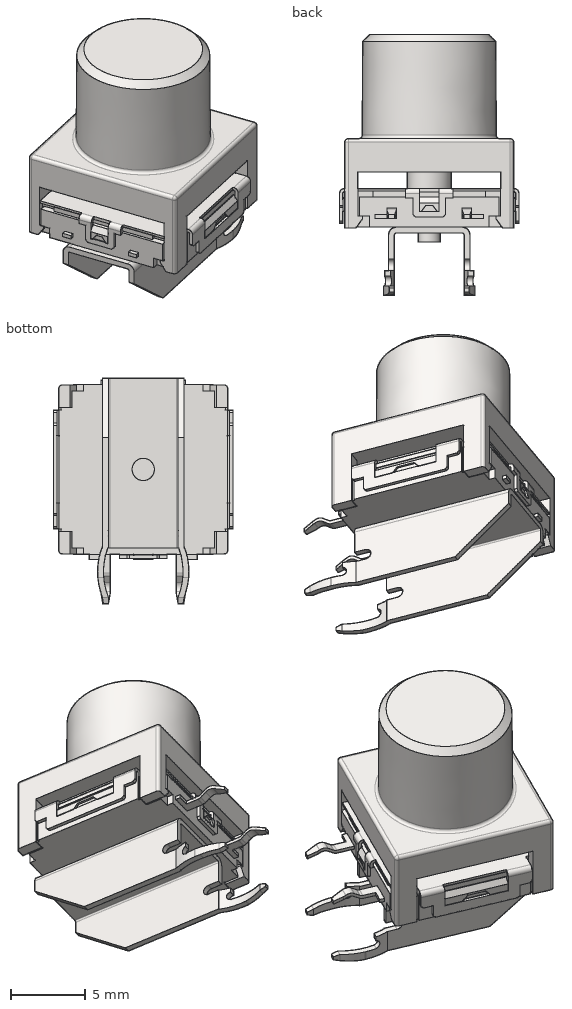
import cadquery as cq
import math


OVERALL_WIDTH = 12.1
TOTAL_HEIGHT = 17.61

CAP_TOP_RADIUS = 4.0
CAP_SHOULDER_RADIUS = 4.49
CAP_FOOT_RADIUS = 4.53
CAP_FLARE_RADIUS = 4.75
CAP_CHAMFER_HEIGHT = 0.48

HOUSING_WIDTH = 11.4
HOUSING_BOTTOM = 4.56
HOUSING_TOP = 10.58
HOUSING_ROUNDING = 0.25
WINDOW_TOP = 8.33
FRONT_WINDOW_WIDTH = 9.62
SIDE_WINDOW_WIDTH = 8.33
HOOK_TOP = 5.35
HOOK_LIP_HEIGHT = 0.15
HOOK_REACH = 0.32
HOOK_FOOT_INSET = 0.12
HOOK_DEPTH = 0.6

BODY_BOTTOM = 4.61
PLATE_TOP = 7.22
PLATE_THICKNESS = 0.18
PLATE_EDGE = 5.62
WALL_TOP = 6.65
WALL_FACE = 5.72
WALL_WIDTH = 9.4
WALL_NOTCH_EDGE = 4.02
SIDE_FACE = 5.67
SIDE_FACE_WIDTH = 8.0
SIDE_PLATE_EDGE = 5.64
STEP_EDGE = 5.53
STEP_WIDTH = 7.6
CORNER_EDGE = 5.28
STEM_DIAMETER = 3.0
POST_DIAMETER = 1.5
POST_BOTTOM = 3.61

FRONT_CLIP_REACH = 6.0
SIDE_CLIP_REACH = OVERALL_WIDTH / 2
CLIP_THICKNESS = 0.23
CLIP_BEND_RADIUS = 0.33
CLIP_CORNER = 0.15
WINDOW_SILL = 5.69
LATCH_TIP_TOP = 6.25
FRONT_LATCH_REACH = 6.08
SIDE_LATCH_REACH = 6.0
LATCH_SLOPE_DEPTH = 0.28
LATCH_RECESS_TOP = 6.1
LATCH_RECESS_DEPTH = 0.14

TERMINAL_INNER = 2.22
TERMINAL_WIDTH = 0.63
TERMINAL_BOTTOM = 5.2
TERMINAL_THICKNESS = 0.26
TERMINAL_FRONT = 6.02
TERMINAL_BACK = 9.05
TERMINAL_TIP_START = 8.36
TERMINAL_TIP_TAPER = 0.12
KINK_START = 6.99
KINK_SLOPE_START = 7.2
KINK_SLOPE_START_RISE = 0.07
KINK_SLOPE_END = 7.6
KINK_SLOPE_END_RISE = 0.35
KINK_CREST = 7.92
KINK_CREST_RISE = 0.45
KINK_END = 8.22
KINK_END_RISE = 0.37
FOOT_OUTER = 3.65
FOOT_BACK = 6.08

BRACKET_WIDTH = 5.5
BRACKET_THICKNESS = 0.4
BRACKET_BEND_RADIUS = 0.51
BRACKET_FRONT = -6.15
BRACKET_BACK = 5.3
FLANGE_FRONT_CORNER = 3.2
FLANGE_BOTTOM_FRONT = -2.17
SLOT_BOTTOM = 1.69
SLOT_TOP = 2.47
SLOT_END = 4.1

TAIL_ROOT = 5.18
TAIL_BULGE = 0.33
TAIL_BULGE_Y = 6.92
TAIL_TIP_INSET = 0.07
TAIL_HEIGHT = 0.67
TAIL_POINT_START = 8.61
TAIL_LUG_END = 6.1
TAIL_LUG_BOTTOM = 1.32
TAIL_THROAT_DEPTH = 0.28
TAIL_UNDERSIDE_START = 7.29
TAIL_POINT_BOTTOM = 0.12
TAIL_TIP_BOTTOM = 0.26
TAIL_TIP_TOP = 0.53


def box(x_range, y_range, z_range):
    """Box between the given limits on each axis."""
    sizes = [high - low for low, high in (x_range, y_range, z_range)]
    corner = (x_range[0], y_range[0], z_range[0])
    return cq.Workplane("XY").box(*sizes, centered=False).translate(corner)


def centred_box(width, depth, bottom, top):
    """Box centred on the Z axis."""
    return box((-width / 2, width / 2), (-depth / 2, depth / 2), (bottom, top))


def along_x(outline, x_low, x_high):
    """Extrude a closed YZ outline between two X positions."""
    return outline.extrude(x_high - x_low).translate((x_low, 0, 0))


def on_both_sides(shape):
    """The shape together with its mirror image across X = 0."""
    return shape.union(shape.mirror("YZ"))


def make_cap():
    """Slightly tapered cap with a chamfered top and a small concave flare at its foot."""
    shoulder = TOTAL_HEIGHT - CAP_CHAMFER_HEIGHT
    flare = CAP_FLARE_RADIUS - CAP_FOOT_RADIUS
    flare_mid = flare * (1 - math.sqrt(0.5))
    return (
        cq.Workplane("XZ")
        .moveTo(0, HOUSING_TOP)
        .lineTo(CAP_FLARE_RADIUS, HOUSING_TOP)
        .threePointArc(
            (CAP_FOOT_RADIUS + flare_mid, HOUSING_TOP + flare_mid),
            (CAP_FOOT_RADIUS, HOUSING_TOP + flare),
        )
        .lineTo(CAP_SHOULDER_RADIUS, shoulder)
        .lineTo(CAP_TOP_RADIUS, TOTAL_HEIGHT)
        .lineTo(0, TOTAL_HEIGHT)
        .close()
        .revolve(360, (0, 0, 0), (0, 1, 0))
    )


def make_hooks():
    """Snap hooks at the feet of the corner posts, on the front and back."""
    edge = FRONT_WINDOW_WIDTH / 2
    tip = edge - HOOK_REACH
    outer = edge + HOOK_FOOT_INSET
    points = [
        (outer, HOOK_TOP),
        (tip, HOOK_TOP),
        (tip, HOOK_TOP - HOOK_LIP_HEIGHT),
        (outer, HOUSING_BOTTOM),
    ]
    front = cq.Workplane("XZ").polyline(points).close().extrude(HOOK_DEPTH)
    front = front.translate((0, HOOK_DEPTH - HOUSING_WIDTH / 2, 0))
    front = on_both_sides(front)
    return front.union(front.mirror("XZ"))


def make_housing():
    """Square block with two crossing tunnels, which leave four corner posts."""
    housing = centred_box(HOUSING_WIDTH, HOUSING_WIDTH, HOUSING_BOTTOM, HOUSING_TOP)
    housing = housing.edges("|Z or >Z").fillet(HOUSING_ROUNDING)
    front_tunnel = centred_box(FRONT_WINDOW_WIDTH, HOUSING_WIDTH, HOUSING_BOTTOM, WINDOW_TOP)
    side_tunnel = centred_box(HOUSING_WIDTH, SIDE_WINDOW_WIDTH, HOUSING_BOTTOM, WINDOW_TOP)
    hollow = housing.cut(front_tunnel).cut(side_tunnel)
    return hollow.cut(make_foot_reliefs()).union(make_hooks())


def make_foot_reliefs():
    """Sloped cuts that continue the lead-in of each hook into its post."""
    edge = FRONT_WINDOW_WIDTH / 2
    rise = (HOOK_TOP - HOOK_LIP_HEIGHT - HOUSING_BOTTOM) / (HOOK_REACH + HOOK_FOOT_INSET)
    points = [
        (edge, HOUSING_BOTTOM),
        (edge + HOOK_FOOT_INSET, HOUSING_BOTTOM),
        (edge, HOUSING_BOTTOM + HOOK_FOOT_INSET * rise),
    ]
    relief = cq.Workplane("XZ").polyline(points).close().extrude(HOUSING_WIDTH / 2, both=True)
    return on_both_sides(relief)


def make_body():
    """Stepped switch body with its cover plate, the stem above it and the post below it."""
    plate_bottom = PLATE_TOP - PLATE_THICKNESS
    core = centred_box(FRONT_WINDOW_WIDTH, 2 * CORNER_EDGE, BODY_BOTTOM, plate_bottom)
    front_wall = centred_box(WALL_WIDTH, 2 * WALL_FACE, HOOK_TOP, WALL_TOP)
    skirt = centred_box(2 * WALL_NOTCH_EDGE, 2 * WALL_FACE, BODY_BOTTOM, HOOK_TOP)
    step = centred_box(STEP_WIDTH, 2 * STEP_EDGE, WALL_TOP, plate_bottom)
    side_block = centred_box(2 * STEP_EDGE, SIDE_WINDOW_WIDTH, BODY_BOTTOM, WALL_TOP)
    side_wall = centred_box(2 * SIDE_FACE, SIDE_FACE_WIDTH, BODY_BOTTOM, plate_bottom)
    side_plate = centred_box(2 * SIDE_PLATE_EDGE, SIDE_FACE_WIDTH, plate_bottom, PLATE_TOP)
    plate = centred_box(FRONT_WINDOW_WIDTH, 2 * PLATE_EDGE, plate_bottom, PLATE_TOP)
    stem = cq.Workplane("XY").workplane(offset=PLATE_TOP).circle(STEM_DIAMETER / 2)
    stem = stem.extrude(WINDOW_TOP - PLATE_TOP)
    post = cq.Workplane("XY").workplane(offset=POST_BOTTOM).circle(POST_DIAMETER / 2)
    post = post.extrude(BODY_BOTTOM - POST_BOTTOM)
    body = core
    for piece in (front_wall, skirt, step, side_block, side_wall, plate, side_plate, stem, post):
        body = body.union(piece)
    return body


def clip_outline(reach, half_width, half_tongue, shoulder, bottom, shoulder_corner):
    """Front outline of a clip: a wide shoulder with a narrower tongue below it."""
    right = [(half_width, PLATE_TOP), (half_width, shoulder + shoulder_corner)]
    if shoulder_corner:
        right.append((half_width - shoulder_corner, shoulder))
    right += [
        (half_tongue, shoulder),
        (half_tongue, bottom + CLIP_CORNER),
        (half_tongue - CLIP_CORNER, bottom),
    ]
    left = [(-x, z) for x, z in reversed(right)]
    outline = cq.Workplane("XZ").polyline(right + left).close()
    return outline.extrude(reach)


def clip_strip(reach, half_width, bottom):
    """Bent strip that runs off the plate and folds down over the front wall."""
    inner = reach - CLIP_THICKNESS
    inner_radius = CLIP_BEND_RADIUS - CLIP_THICKNESS
    outline = (
        cq.Workplane("YZ")
        .moveTo(-STEP_EDGE, PLATE_TOP)
        .lineTo(CLIP_BEND_RADIUS - reach, PLATE_TOP)
        .radiusArc((-reach, PLATE_TOP - CLIP_BEND_RADIUS), -CLIP_BEND_RADIUS)
        .lineTo(-reach, bottom)
        .lineTo(-inner, bottom)
        .lineTo(-inner, PLATE_TOP - CLIP_BEND_RADIUS)
        .radiusArc((inner_radius - inner, PLATE_TOP - CLIP_THICKNESS), inner_radius)
        .lineTo(-STEP_EDGE, PLATE_TOP - CLIP_THICKNESS)
        .close()
    )
    return along_x(outline, -half_width, half_width)


def make_latch(reach, half_width, recess_top, recess_bottom):
    """Wedge filling the lower part of a clip opening, with a trapezoidal recess in its face."""
    points = [
        (-STEP_EDGE, WALL_TOP),
        (LATCH_SLOPE_DEPTH - reach, WALL_TOP),
        (-reach, LATCH_TIP_TOP),
        (-reach, WINDOW_SILL),
        (-STEP_EDGE, WINDOW_SILL),
    ]
    wedge = along_x(cq.Workplane("YZ").polyline(points).close(), -half_width, half_width)
    recess_points = [
        (-recess_bottom, WINDOW_SILL),
        (recess_bottom, WINDOW_SILL),
        (recess_top, LATCH_RECESS_TOP),
        (-recess_top, LATCH_RECESS_TOP),
    ]
    recess = cq.Workplane("XZ").polyline(recess_points).close().extrude(LATCH_RECESS_DEPTH)
    return wedge.cut(recess.translate((0, LATCH_RECESS_DEPTH - reach, 0)))


def make_clip(
    reach,
    half_width,
    half_tongue,
    shoulder,
    bottom,
    shoulder_corner,
    half_opening,
    latch_reach,
    recess_top,
    recess_bottom,
):
    """Clip facing -Y with its latch."""
    clip = clip_strip(reach, half_width, bottom).intersect(
        clip_outline(reach, half_width, half_tongue, shoulder, bottom, shoulder_corner)
    )
    opening = box((-half_opening, half_opening), (-reach, -SIDE_PLATE_EDGE), (WINDOW_SILL, PLATE_TOP))
    return clip.cut(opening).union(make_latch(latch_reach, half_opening, recess_top, recess_bottom))


def make_clips():
    """Narrow clips at the front and back, wide clips on the two sides."""
    front = make_clip(
        reach=FRONT_CLIP_REACH,
        half_width=1.6,
        half_tongue=1.1,
        shoulder=6.59,
        bottom=5.3,
        shoulder_corner=0,
        half_opening=0.65,
        latch_reach=FRONT_LATCH_REACH,
        recess_top=0.23,
        recess_bottom=0.53,
    )
    side = make_clip(
        reach=SIDE_CLIP_REACH,
        half_width=4.0,
        half_tongue=3.12,
        shoulder=5.93,
        bottom=4.88,
        shoulder_corner=CLIP_CORNER,
        half_opening=2.27,
        latch_reach=SIDE_LATCH_REACH,
        recess_top=0.63,
        recess_bottom=0.97,
    ).rotate((0, 0, 0), (0, 0, 1), -90)
    return front.union(front.mirror("XZ")).union(on_both_sides(side))


def terminal_area(top):
    """YZ outline of the area under a terminal's kinked top line, down to Z = 0."""
    return (
        cq.Workplane("YZ")
        .moveTo(-TERMINAL_FRONT, 0)
        .lineTo(-TERMINAL_FRONT, top)
        .lineTo(KINK_START, top)
        .threePointArc(
            ((KINK_START + KINK_SLOPE_START) / 2, top + KINK_SLOPE_START_RISE / 4),
            (KINK_SLOPE_START, top + KINK_SLOPE_START_RISE),
        )
        .lineTo(KINK_SLOPE_END, top + KINK_SLOPE_END_RISE)
        .threePointArc((KINK_CREST, top + KINK_CREST_RISE), (KINK_END, top + KINK_END_RISE))
        .lineTo(TERMINAL_BACK, top)
        .lineTo(TERMINAL_BACK, 0)
        .close()
    )


def make_terminals():
    """Flat contact strips that run through the body and end in a kinked finger at the back."""
    low = TERMINAL_BOTTOM
    high = low + TERMINAL_THICKNESS
    inner = TERMINAL_INNER
    outer = inner + TERMINAL_WIDTH
    strip = along_x(terminal_area(high), inner, outer).cut(along_x(terminal_area(low), inner, outer))
    plan = [
        (inner, -TERMINAL_FRONT),
        (outer, -TERMINAL_FRONT),
        (outer, TERMINAL_TIP_START),
        (outer - TERMINAL_TIP_TAPER, TERMINAL_BACK),
        (inner + TERMINAL_TIP_TAPER, TERMINAL_BACK),
        (inner, TERMINAL_TIP_START),
    ]
    strip = strip.intersect(cq.Workplane("XY").polyline(plan).close().extrude(TOTAL_HEIGHT))
    foot = box((inner, FOOT_OUTER), (CORNER_EDGE, FOOT_BACK), (low, high))
    return on_both_sides(strip.union(foot))


def make_channel():
    """Bracket web and flanges bent from one sheet, with sloped front corners and slotted back edges."""
    half_width = BRACKET_WIDTH / 2
    half_gap = half_width - BRACKET_THICKNESS
    web_bottom = BODY_BOTTOM - BRACKET_THICKNESS
    length = (BRACKET_FRONT, BRACKET_BACK)
    outer = box((-half_width, half_width), length, (0, BODY_BOTTOM))
    outer = outer.edges("|Y and >Z").fillet(BRACKET_BEND_RADIUS)
    inner = box((-half_gap, half_gap), length, (0, web_bottom))
    inner = inner.edges("|Y and >Z").fillet(BRACKET_BEND_RADIUS - BRACKET_THICKNESS)
    channel = outer.cut(inner)

    corner_points = [
        (BRACKET_FRONT, 0),
        (FLANGE_BOTTOM_FRONT, 0),
        (BRACKET_FRONT, FLANGE_FRONT_CORNER),
    ]
    corner = along_x(cq.Workplane("YZ").polyline(corner_points).close(), -half_width, half_width)

    slot_radius = (SLOT_TOP - SLOT_BOTTOM) / 2
    slot = (
        cq.Workplane("YZ")
        .moveTo(BRACKET_BACK, SLOT_BOTTOM)
        .lineTo(SLOT_END + slot_radius, SLOT_BOTTOM)
        .threePointArc((SLOT_END, SLOT_BOTTOM + slot_radius), (SLOT_END + slot_radius, SLOT_TOP))
        .lineTo(BRACKET_BACK, SLOT_TOP)
        .close()
    )
    return channel.cut(corner).cut(along_x(slot, -half_width, half_width))


def make_tails():
    """Ground pins at the back of the flanges, bowed outward and back in."""
    root_outer = BRACKET_WIDTH / 2
    root_inner = root_outer - BRACKET_THICKNESS
    tip_outer = root_outer - TAIL_TIP_INSET
    plan = (
        cq.Workplane("XY")
        .moveTo(root_outer, TAIL_ROOT)
        .threePointArc((root_outer + TAIL_BULGE, TAIL_BULGE_Y), (root_outer, TAIL_POINT_START))
        .lineTo(tip_outer, TERMINAL_BACK)
        .lineTo(root_inner, TERMINAL_BACK)
        .lineTo(root_inner, TAIL_POINT_START)
        .threePointArc((root_inner + TAIL_BULGE, TAIL_BULGE_Y), (root_inner, TAIL_ROOT))
        .close()
        .extrude(SLOT_BOTTOM)
    )
    side = (
        cq.Workplane("YZ")
        .moveTo(TAIL_ROOT, 0)
        .lineTo(TAIL_UNDERSIDE_START, 0)
        .lineTo(TAIL_POINT_START, TAIL_POINT_BOTTOM)
        .lineTo(TERMINAL_BACK, TAIL_TIP_BOTTOM)
        .lineTo(TERMINAL_BACK, TAIL_TIP_TOP)
        .lineTo(TAIL_POINT_START, TAIL_HEIGHT)
        .lineTo(TAIL_LUG_END, TAIL_HEIGHT)
        .threePointArc(
            (TAIL_LUG_END - TAIL_THROAT_DEPTH, (TAIL_HEIGHT + TAIL_LUG_BOTTOM) / 2),
            (TAIL_LUG_END, TAIL_LUG_BOTTOM),
        )
        .lineTo(TAIL_LUG_END, SLOT_BOTTOM)
        .lineTo(TAIL_ROOT, SLOT_BOTTOM)
        .close()
    )
    tail = plan.intersect(along_x(side, root_inner, root_outer + TAIL_BULGE))
    return on_both_sides(tail)


result = make_housing()
for part in (make_cap(), make_body(), make_clips(), make_terminals(), make_channel(), make_tails()):
    result = result.union(part)